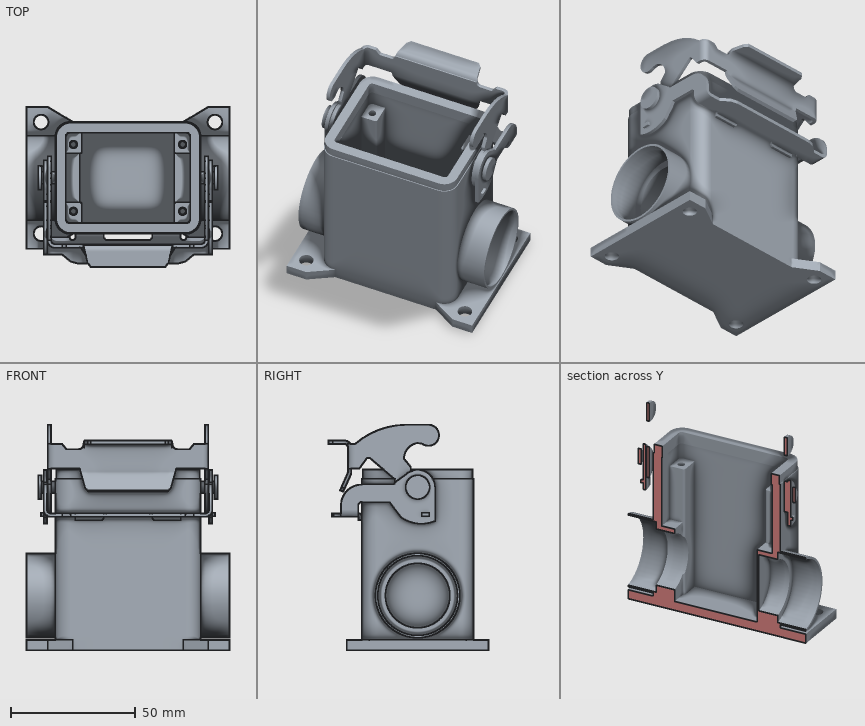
import cadquery as cq
import math

body_half_x = 29.3
body_half_y = 22.6
body_corner_radius = 6.0
shoulder_z = 69.2
body_top_z = 73.0
rim_inset = 0.4
wall = 4.3

base_half_x = 41.0
base_half_y = 28.6
base_thickness = wall
base_ear_inner_x = 32.3
base_waist_x = 22.2
mount_hole_x = 35.0
mount_hole_y = 22.5
mount_hole_diameter = 5.8

entry_z = 22.1
entry_outer_radius = 17.0
entry_socket_radius = 16.1
entry_bore_radius = 13.0
entry_socket_floor_x = 28.0
closed_entry_web = 0.8
entry_block_top_z = entry_z + entry_bore_radius + 1.8

cavity_half_x = body_half_x - wall
cavity_half_y = 18.1
cavity_corner_radius = 1.5
cavity_undercut = 0.3
cavity_lip_z = 67.8
post_inner_x = 18.6
post_inner_y = 9.8
post_edge_radius = 0.9
post_top_z = 61.0
entry_block_face_x = post_inner_x + closed_entry_web
post_hole_x = 22.0
post_hole_y = 13.5
post_hole_diameter = 3.1
post_hole_depth = 10.9
post_hole_taper = 1.5

sheet = 1.5
pivot_z = 65.8
pin_radius = 2.5
button_radius = 4.8
button_inner_x = 34.8
button_outer_x = 36.2

lever_half_x = 32.4
lever_front_y = -28.1
lever_back_y = lever_front_y + sheet
lever_bend_radius = 2.8
lever_bottom_z = 73.3
lever_top_z = 83.3
lever_peak_z = 91.0
hook_tip_y = 4.4
hook_tip_radius = 4.3
notch_bottom_z = 81.2
notch_outer_x = 26.6
notch_floor_x = 24.8
grip_half_x = 18.0
grip_front_y = -35.9
grip_top_z = 84.6
flap_bend_z = 72.1
flap_bend_radius = 1.8
flap_angle = math.radians(24.0)
flap_length = 7.5

bracket_half_x = 34.0
bracket_eye_radius = 7.0
arm_top_z = 66.9
arm_bottom_z = 59.8
arm_bend_radius = 8.5
bracket_front_y = -30.9
bracket_back_y = -23.8
bracket_bottom_z = 53.8
bracket_bend_radius = 2.9
bracket_leg_z = bracket_bottom_z + bracket_bend_radius
lip_front_y = -34.6
relief_y = -25.0
tab_inner_x = 9.7
tab_outer_x = 21.2
tab_tip_z = 52.5
tab_bend_radius = 1.1
tab_corner = 0.7
relief_outer_x = 23.5
relief_edge = 0.9
stop_y = 3.2
stop_z = 54.8
stop_width = 3.1
stop_height = 1.55
stop_outer_x = 35.1


def rounded_block(half_x, half_y, z_low, z_high, radius):
    """Upright block centred on Z with rounded vertical corners."""
    block = cq.Workplane("XY").workplane(offset=z_low).rect(2 * half_x, 2 * half_y)
    return block.extrude(z_high - z_low).edges("|Z").fillet(radius)


def box_between(x_range, y_range, z_range):
    """Axis-aligned box given by its low and high limits."""
    low, high = zip(x_range, y_range, z_range)
    size = [b - a for a, b in zip(low, high)]
    return cq.Workplane("XY").box(*size, centered=False).translate(low)


def rod_along_x(radius, x_low, x_high, z):
    """Round bar parallel to X, in the Y = 0 plane."""
    return cq.Workplane("YZ").workplane(offset=x_low).center(0, z).circle(radius).extrude(x_high - x_low)


def mirrored_in_x(solid):
    """The solid together with its mirror image across the YZ plane."""
    return solid.union(solid.mirror("YZ"))


def symmetric_outline(plane, half_points):
    """Closed outline from its +X half, mirrored in X; the half runs from one end to the other."""
    other_half = [(-x, v) for x, v in reversed(half_points)]
    return cq.Workplane(plane).polyline(half_points + other_half).close()


def make_base():
    quarter = [
        (base_waist_x, body_half_y),
        (base_ear_inner_x, base_half_y),
        (base_half_x, base_half_y),
    ]
    half = quarter + [(x, -y) for x, y in reversed(quarter)]
    base = symmetric_outline("XY", half).extrude(base_thickness)
    return (
        base.faces(">Z").workplane(origin=(0, 0, 0))
        .rect(2 * mount_hole_x, 2 * mount_hole_y, forConstruction=True).vertices()
        .hole(mount_hole_diameter)
    )


def make_posts():
    """Four screw posts standing in the corners of the cavity."""
    post = box_between(
        (post_inner_x, cavity_half_x + wall / 2),
        (post_inner_y, cavity_half_y + wall / 2),
        (base_thickness / 2, post_top_z),
    )
    post = post.edges("|Z and <X and <Y").fillet(post_edge_radius)
    hole = cq.Workplane("XY").workplane(offset=post_top_z).center(post_hole_x, post_hole_y)
    post = post.cut(hole.circle(post_hole_diameter / 2).extrude(-post_hole_depth, taper=post_hole_taper))
    pair = mirrored_in_x(post)
    return pair.union(pair.mirror("XZ"))


def make_entry_block(face_x):
    """Thickened wall around a cable bore, between and behind the posts of one side."""
    return box_between(
        (face_x, cavity_half_x + wall / 2),
        (-cavity_half_y - wall / 2, cavity_half_y + wall / 2),
        (base_thickness / 2, entry_block_top_z),
    )


def make_housing():
    body = rounded_block(body_half_x, body_half_y, 0, shoulder_z, body_corner_radius)
    rim = rounded_block(
        body_half_x - rim_inset, body_half_y - rim_inset,
        shoulder_z, body_top_z, body_corner_radius - rim_inset,
    )
    cavity_mouth = rounded_block(cavity_half_x, cavity_half_y, cavity_lip_z, body_top_z, cavity_corner_radius)
    cavity = rounded_block(
        cavity_half_x + cavity_undercut, cavity_half_y + cavity_undercut,
        base_thickness, cavity_lip_z, cavity_corner_radius + cavity_undercut,
    )
    entry_tubes = mirrored_in_x(rod_along_x(entry_outer_radius, cavity_half_x + wall / 2, base_half_x, entry_z))

    housing = body.union(rim).union(make_base()).union(entry_tubes)
    housing = housing.cut(cavity_mouth).cut(cavity)
    housing = housing.union(make_posts())
    housing = housing.union(make_entry_block(entry_block_face_x).mirror("YZ"))
    housing = housing.union(make_entry_block(post_inner_x))

    socket = rod_along_x(entry_socket_radius, entry_socket_floor_x, base_half_x, entry_z)
    blind_bore = rod_along_x(entry_bore_radius, entry_block_face_x, base_half_x, entry_z)
    open_bore = rod_along_x(entry_bore_radius, -base_half_x, -post_inner_x, entry_z)
    return housing.cut(mirrored_in_x(socket)).cut(blind_bore).cut(open_bore)


def make_pivots():
    """Pins through lever and bracket, each with a round button head."""
    pin = rod_along_x(pin_radius, body_half_x - wall / 2, button_inner_x, pivot_z)
    button = rod_along_x(button_radius, button_inner_x, button_outer_x, pivot_z)
    return mirrored_in_x(pin.union(button))


def lever_side_outline():
    """Hooked silhouette of the lever in the YZ plane, from the peak forward and round."""
    return (
        cq.Workplane("YZ").workplane(offset=-lever_half_x)
        .moveTo(hook_tip_y, lever_peak_z)
        .lineTo(-4.0, lever_peak_z)
        .threePointArc((-14.7, 89.3), (-25.2, lever_top_z))
        .lineTo(lever_front_y, lever_top_z)
        .lineTo(lever_front_y, lever_bottom_z)
        .lineTo(-23.5, lever_bottom_z)
        .lineTo(-20.4, 77.5)
        .lineTo(-19.3, 77.5)
        .lineTo(-9.2, 69.0)
        .lineTo(-9.2, arm_top_z)
        .threePointArc((-1.1, 55.5), (6.6, 64.6))
        .threePointArc((4.1, 70.5), (-2.7, 72.1))
        .lineTo(-2.7, 73.9)
        .lineTo(-5.5, 77.3)
        .threePointArc((-3.6, 81.7), (-0.2, 83.5))
        .lineTo(1.8, 83.3)
        .threePointArc((hook_tip_y + hook_tip_radius, lever_peak_z - hook_tip_radius), (hook_tip_y, lever_peak_z))
        .close()
    )


def make_lever_frame():
    """Hooked side arms joined by the front plate, folded from one sheet."""
    back_y = hook_tip_y + 2 * hook_tip_radius

    def channel_block(inset, radius):
        block = box_between(
            (-lever_half_x + inset, lever_half_x - inset),
            (lever_front_y + inset, back_y),
            (0, lever_peak_z),
        )
        return block.edges("|Z and <Y").fillet(radius)

    channel = channel_block(0, lever_bend_radius).cut(channel_block(sheet, lever_bend_radius - sheet))
    frame = channel.intersect(lever_side_outline().extrude(2 * lever_half_x))

    notch = (
        cq.Workplane("XZ").workplane(offset=-lever_back_y)
        .polyline([
            (notch_outer_x, lever_top_z),
            (notch_floor_x, notch_bottom_z),
            (grip_half_x, notch_bottom_z),
            (grip_half_x, lever_top_z),
        ]).close().extrude(sheet)
    )
    return frame.cut(mirrored_in_x(notch))


def make_lever_grip():
    """Finger grip bent forward from the top of the front plate."""
    outer_radius = 2 * sheet
    bend_start_z = grip_top_z - outer_radius
    bend_end_y = lever_back_y - outer_radius
    strip = (
        cq.Workplane("YZ").workplane(offset=-grip_half_x)
        .moveTo(lever_back_y, notch_bottom_z)
        .lineTo(lever_back_y, bend_start_z)
        .radiusArc((bend_end_y, grip_top_z), -outer_radius)
        .lineTo(grip_front_y, grip_top_z)
        .lineTo(grip_front_y, grip_top_z - sheet)
        .lineTo(bend_end_y, grip_top_z - sheet)
        .radiusArc((lever_front_y, bend_start_z), outer_radius - sheet)
        .lineTo(lever_front_y, notch_bottom_z)
        .close().extrude(2 * grip_half_x)
    )
    plan = symmetric_outline("XY", [
        (grip_half_x, lever_back_y),
        (16.3, -34.3),
        (15.0, grip_front_y),
    ]).extrude(lever_peak_z)
    shoulder = (
        cq.Workplane("XZ").workplane(offset=-lever_back_y)
        .moveTo(grip_half_x, notch_bottom_z)
        .lineTo(grip_half_x + 1.8, notch_bottom_z)
        .radiusArc((grip_half_x, notch_bottom_z + 1.8), 1.8)
        .close().extrude(sheet)
    )
    return strip.intersect(plan).union(mirrored_in_x(shoulder))


def make_lever_flap():
    """Tapered flap hanging from the front plate and leaning forward."""
    bend_centre_y = lever_front_y - flap_bend_radius
    run_y = -flap_length * math.sin(flap_angle)
    run_z = -flap_length * math.cos(flap_angle)

    def bend_end(radius):
        return bend_centre_y + radius * math.cos(flap_angle), flap_bend_z - radius * math.sin(flap_angle)

    back_radius = flap_bend_radius + sheet
    back_y, back_z = bend_end(back_radius)
    front_y, front_z = bend_end(flap_bend_radius)
    bottom_z = back_z + run_z
    strip = (
        cq.Workplane("YZ").workplane(offset=-lever_half_x)
        .moveTo(lever_back_y, lever_bottom_z)
        .lineTo(lever_back_y, flap_bend_z)
        .radiusArc((back_y, back_z), back_radius)
        .line(run_y, run_z)
        .lineTo(front_y + run_y, front_z + run_z)
        .lineTo(front_y, front_z)
        .radiusArc((lever_front_y, flap_bend_z), -flap_bend_radius)
        .lineTo(lever_front_y, lever_bottom_z)
        .close().extrude(2 * lever_half_x)
    )
    silhouette = symmetric_outline("XZ", [
        (19.5, lever_bottom_z),
        (17.3, 65.5),
        (15.8, bottom_z),
    ]).extrude(-grip_front_y)
    return strip.intersect(silhouette)


def make_bracket_side():
    """Flat +X side of the bracket: pivot eye, arm and drop leg."""
    arm_bend_y = bracket_front_y + arm_bend_radius
    eye_offset = bracket_eye_radius * 2 ** -0.5
    return (
        cq.Workplane("YZ").workplane(offset=bracket_half_x - sheet)
        .moveTo(bracket_eye_radius, 52.1)
        .lineTo(bracket_eye_radius, pivot_z)
        .threePointArc((0, pivot_z + bracket_eye_radius), (-eye_offset, pivot_z + eye_offset))
        .lineTo(-9.2, 67.7)
        .lineTo(-9.7, arm_top_z)
        .lineTo(arm_bend_y, arm_top_z)
        .radiusArc((bracket_front_y, arm_top_z - arm_bend_radius), -arm_bend_radius)
        .lineTo(bracket_front_y, bracket_leg_z)
        .lineTo(bracket_back_y, bracket_leg_z)
        .lineTo(bracket_back_y, arm_bottom_z - relief_edge)
        .lineTo(bracket_back_y + relief_edge, arm_bottom_z)
        .lineTo(-11.4, arm_bottom_z)
        .lineTo(-6.6, 53.6)
        .threePointArc((1.5, 51.05), (bracket_eye_radius, 52.1))
        .close().extrude(sheet)
    )


def make_bracket_bridge():
    """Cross plate of the bracket with its folded ends, front lip and relieved back edge."""

    def trough(inset, radius):
        block = box_between(
            (-bracket_half_x + inset, bracket_half_x - inset),
            (bracket_front_y, bracket_back_y),
            (bracket_bottom_z + inset, arm_bottom_z),
        )
        return block.edges("|Y and <Z").fillet(radius)

    bridge = trough(0, bracket_bend_radius).cut(trough(sheet, bracket_bend_radius - sheet))
    bridge = bridge.intersect(box_between(
        (-bracket_half_x, bracket_half_x),
        (bracket_front_y, bracket_back_y),
        (bracket_bottom_z, bracket_leg_z),
    ))
    lip = symmetric_outline("XY", [
        (bracket_half_x - bracket_bend_radius, bracket_front_y),
        (26.6, bracket_front_y),
        (23.1, -33.8),
        (20.0, lip_front_y),
    ]).extrude(sheet).translate((0, 0, bracket_bottom_z))

    centre_relief = symmetric_outline("XY", [
        (tab_inner_x, bracket_back_y),
        (tab_inner_x, relief_y + relief_edge),
        (tab_inner_x - relief_edge, relief_y),
    ]).extrude(bracket_leg_z)
    relief_radius = (relief_outer_x - tab_outer_x) / 2
    end_relief = (
        cq.Workplane("XY").center(relief_outer_x - relief_radius, relief_y + relief_radius)
        .circle(relief_radius).extrude(bracket_leg_z)
    )
    return bridge.union(lip).cut(centre_relief).cut(mirrored_in_x(end_relief))


def make_bracket_tabs():
    """Small tabs bent down from the back edge of the bridge to the housing wall."""
    tab = box_between(
        (tab_inner_x, tab_outer_x),
        (bracket_back_y, -body_half_y),
        (tab_tip_z, bracket_bottom_z + sheet),
    )
    tab = tab.edges(">Y and >Z").fillet(tab_bend_radius)
    tab = tab.edges("<X and <Z").chamfer(tab_corner)
    return mirrored_in_x(tab)


def make_bracket_stops():
    """Small rectangular bumps on the outside of the bracket, below the pivots."""
    stop = box_between(
        (bracket_half_x - sheet / 2, stop_outer_x),
        (stop_y - stop_width / 2, stop_y + stop_width / 2),
        (stop_z - stop_height / 2, stop_z + stop_height / 2),
    )
    return mirrored_in_x(stop)


lever = make_lever_frame().union(make_lever_grip()).union(make_lever_flap())
bracket = mirrored_in_x(make_bracket_side()).union(make_bracket_bridge())
bracket = bracket.union(make_bracket_tabs()).union(make_bracket_stops())

result = make_housing().union(make_pivots()).union(lever).union(bracket)